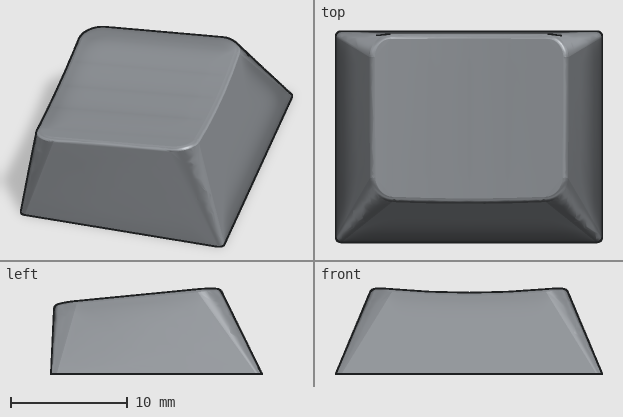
import cadquery as cq
import math

base_length = 22.85
base_width = 18.1
base_corner_radius = 0.5

top_length = 16.5
top_width = 14.05
top_corner_radius = 2.1
top_center_y = 1.75
top_center_z = 7.09
top_tilt = 5.6

dish_radius = 68.58
dish_depth = 0.78
dish_cutter_length = 34.3

rim_fillet_radius = 0.45

top_center = cq.Vector(0, top_center_y, top_center_z)
top_placement = cq.Location(top_center, cq.Vector(1, 0, 0), -top_tilt)
base_outline = cq.Sketch().rect(base_length, base_width).vertices().fillet(base_corner_radius)
top_outline = cq.Sketch().rect(top_length, top_width).vertices().fillet(top_corner_radius)
blank = cq.Workplane("XY").placeSketch(base_outline, top_outline.moved(top_placement)).loft(ruled=True)

tilt = math.radians(top_tilt)
top_normal = cq.Vector(0, math.sin(tilt), math.cos(tilt))
dish_direction = cq.Vector(0, math.cos(tilt), -math.sin(tilt))
dish_axis_middle = top_center + top_normal * (dish_radius - dish_depth)
dish_start = dish_axis_middle - dish_direction * (dish_cutter_length / 2)
dish_cutter = cq.Solid.makeCylinder(dish_radius, dish_cutter_length, dish_start, dish_direction)
dished_body = blank.cut(cq.Workplane(obj=dish_cutter))

result = dished_body.faces(">Z").edges().fillet(rim_fillet_radius)